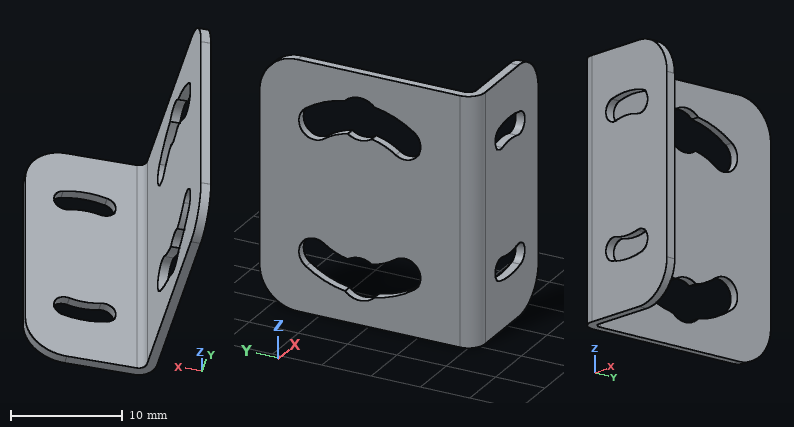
import cadquery as cq
import math

front_length = 12.0
side_length = 22.0
height = 25.0
thickness = 0.93
inside_bend_radius = 0.77
outside_bend_radius = inside_bend_radius + thickness
corner_radius = 3.81

front_slot_center = 6.5
front_slot_raise = 0.18
front_slot_path_radius = 6.75
front_slot_width = 2.22
front_slot_half_angle = 15.0

side_slot_center = 11.85
side_slot_path_radius = 7.95
side_slot_width = 3.2
side_slot_half_angle = 35.0
side_hole_diameter = 4.2

cut_clearance = 1.0
cut_depth = thickness + 2 * cut_clearance


def bent_sheet():
    """Constant-thickness L profile with a rounded bend, extruded to full height."""
    return (
        cq.Workplane("XY", origin=(0, 0, -height / 2))
        .moveTo(outside_bend_radius, 0)
        .lineTo(front_length, 0)
        .lineTo(front_length, thickness)
        .lineTo(outside_bend_radius, thickness)
        .radiusArc((thickness, outside_bend_radius), inside_bend_radius)
        .lineTo(thickness, side_length)
        .lineTo(0, side_length)
        .lineTo(0, outside_bend_radius)
        .radiusArc((outside_bend_radius, 0), -outside_bend_radius)
        .close()
        .extrude(height)
    )


def round_leg_corners(body):
    """Round the top and bottom free corners of both legs."""
    body = body.faces(">X").edges("|Y").fillet(corner_radius)
    return body.faces(">Y").edges("|X").fillet(corner_radius)


def arc_slot(plane, path_radius, width, half_angle):
    """Round-ended slot cutter, centred above the plane origin on a circle about it."""
    def point(radius, angle):
        turn = math.radians(angle)
        return (radius * math.sin(turn), radius * math.cos(turn))

    outer = path_radius + width / 2
    inner = path_radius - width / 2
    end_radius = width / 2
    return (
        cq.Workplane(plane)
        .moveTo(*point(outer, -half_angle))
        .threePointArc(point(outer, 0), point(outer, half_angle))
        .radiusArc(point(inner, half_angle), end_radius)
        .threePointArc(point(inner, 0), point(inner, -half_angle))
        .radiusArc(point(outer, -half_angle), end_radius)
        .close()
        .extrude(cut_depth)
    )


def mirrored_pair(cutter):
    """The cutter together with its mirror image below Z = 0."""
    return cutter.union(cutter.mirror("XY"))


def front_slots():
    """Cutters for the two arc slots through the front leg."""
    plane = cq.Plane(
        origin=(front_slot_center, -cut_clearance, 0), xDir=(-1, 0, 0), normal=(0, 1, 0)
    )
    slot = arc_slot(plane, front_slot_path_radius, front_slot_width, front_slot_half_angle)
    return mirrored_pair(slot).translate((0, 0, front_slot_raise))


def side_slots():
    """Cutters for the two arc slots, each with a mid-slot hole, through the side leg."""
    plane = cq.Plane(
        origin=(-cut_clearance, side_slot_center, 0), xDir=(0, 1, 0), normal=(1, 0, 0)
    )
    slot = arc_slot(plane, side_slot_path_radius, side_slot_width, side_slot_half_angle)
    hole = (
        cq.Workplane(plane)
        .center(0, side_slot_path_radius)
        .circle(side_hole_diameter / 2)
        .extrude(cut_depth)
    )
    return mirrored_pair(slot.union(hole))


bracket = round_leg_corners(bent_sheet())
result = bracket.cut(front_slots()).cut(side_slots())